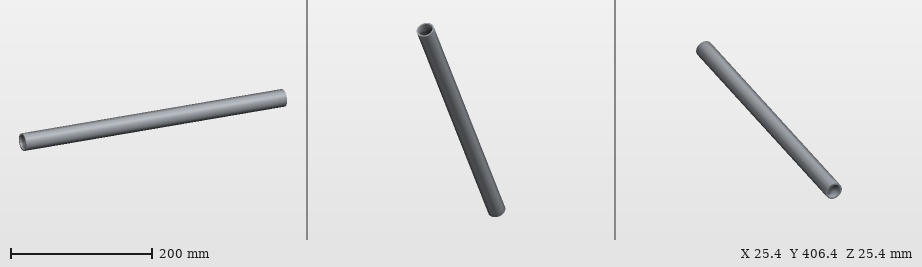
import cadquery as cq

OUTER_DIAMETER = 25.4
WALL_THICKNESS = 2.31
LENGTH = 406.4

inner_diameter = OUTER_DIAMETER - 2 * WALL_THICKNESS


def make_tube():
    """Ring profile at the +Y end, extruded the full length towards -Y."""
    profile = cq.Workplane("XZ", origin=(0, LENGTH / 2, 0))
    profile = profile.circle(OUTER_DIAMETER / 2).circle(inner_diameter / 2)
    return profile.extrude(LENGTH)


result = make_tube()